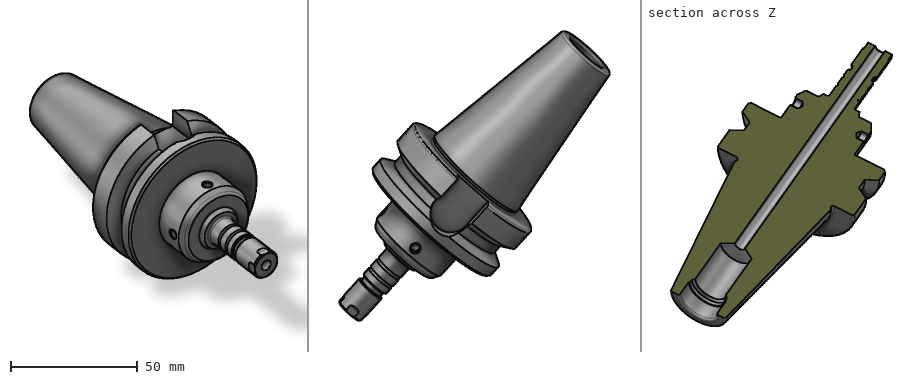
import cadquery as cq
import math

TOTAL_LENGTH = 140.4
GAUGE_X = 65.4
FLANGE_START = 67.4
FLANGE_END = 92.4
NOSE_CHAMFER_START = 105.2
NOSE_ROUND_START = 107.3
NOSE_END = 108.5
COLLAR_END = 110.6
NECK_START = 125.7
NECK_END = 127.6

TAPER_RATIO = 7 / 24
GAUGE_RADIUS = 22.2
SMALL_END_RADIUS = GAUGE_RADIUS - GAUGE_X * TAPER_RATIO / 2
SMALL_END_ROUND = 1.0
UNDERCUT_RADIUS = 21.6
UNDERCUT_FILLET = 0.8

FLANGE_RADIUS = 63.0 / 2
FLANGE_EDGE = 0.8
GROOVE_CENTRE = 82.0
GROOVE_BOTTOM_RADIUS = 26.5
GROOVE_BOTTOM_WIDTH = 4.2
GROOVE_HALF_ANGLE = 30

SLOT_WIDTH = 16.1
SLOT_FLOOR_HEIGHT = 22.6
SLOT_END = 88.5

NOSE_RADIUS = 17.0
NOSE_CONE_END_RADIUS = 15.7
NOSE_FACE_RADIUS = 14.6
NOSE_ROUND_BULGE = 0.1
COLLAR_RADIUS = 9.3
COLLAR_END_RADIUS = 8.3

SPINDLE_RADIUS = 12.0 / 2
SPINDLE_ROOT_FILLET = 0.7
SPINDLE_END_CHAMFER = 0.5
NECK_RADIUS = 10.0 / 2
NECK_EDGE_CHAMFER = 0.4
RING_GROOVE_CENTRES = (117.1, 121.7)
RING_GROOVE_WIDTH = 1.3
RING_GROOVE_DEPTH = 0.35

FLAT_START = 137.6
FLAT_DISTANCE = 11.1 / 2
FLAT_CUTTER_RADIUS = 1.0

SCREW_X = 101.4
SCREW_MOUTH_RADIUS = 2.2
SCREW_RADIUS = 3.5 / 2
SCREW_CHAMFER = SCREW_MOUTH_RADIUS - SCREW_RADIUS
SCREW_DEPTH = 3.5

BORE_MOUTH_RADIUS = 9.5
BORE_RADIUS = 17.0 / 2
BORE_DEPTH = 7.3
THREAD_RELIEF_RADIUS = 8.0
THREAD_RELIEF_LENGTH = 1.5
THREAD_RADIUS = 7.0
THREAD_END = 29.5
THROUGH_RADIUS = 2.2
DRILL_HALF_ANGLE = 59

QUARTER_TURNS = (0, 90, 180, 270)


def cone_length(radius_change, half_angle):
    """Axial length of a cone whose radius changes by the given amount."""
    return radius_change / math.tan(math.radians(half_angle))


def revolve_about_x(profile):
    """Turn a closed profile (X along the axis, Y as radius) into a solid."""
    return profile.close().revolve(360, (0, 0, 0), (1, 0, 0))


def make_body():
    """Turned outer shape of the whole holder, solid inside."""
    groove_half_bottom = GROOVE_BOTTOM_WIDTH / 2
    groove_side = (FLANGE_RADIUS - GROOVE_BOTTOM_RADIUS) * math.tan(math.radians(GROOVE_HALF_ANGLE))
    groove_half_top = groove_half_bottom + groove_side
    rounded_taper_radius = SMALL_END_RADIUS + SMALL_END_ROUND * TAPER_RATIO / 2
    round_mid_x = (NOSE_ROUND_START + NOSE_END) / 2 + NOSE_ROUND_BULGE
    round_mid_radius = (NOSE_CONE_END_RADIUS + NOSE_FACE_RADIUS) / 2 + NOSE_ROUND_BULGE

    profile = (
        cq.Workplane("XY")
        .moveTo(0, 0)
        .lineTo(0, rounded_taper_radius - SMALL_END_ROUND)
        .radiusArc((SMALL_END_ROUND, rounded_taper_radius), SMALL_END_ROUND)
        .lineTo(GAUGE_X, GAUGE_RADIUS)
        .lineTo(FLANGE_START - UNDERCUT_FILLET, UNDERCUT_RADIUS)
        .radiusArc((FLANGE_START, UNDERCUT_RADIUS + UNDERCUT_FILLET), -UNDERCUT_FILLET)
        .lineTo(FLANGE_START, FLANGE_RADIUS - FLANGE_EDGE)
        .radiusArc((FLANGE_START + FLANGE_EDGE, FLANGE_RADIUS), FLANGE_EDGE)
        .lineTo(GROOVE_CENTRE - groove_half_top, FLANGE_RADIUS)
        .lineTo(GROOVE_CENTRE - groove_half_bottom, GROOVE_BOTTOM_RADIUS)
        .lineTo(GROOVE_CENTRE + groove_half_bottom, GROOVE_BOTTOM_RADIUS)
        .lineTo(GROOVE_CENTRE + groove_half_top, FLANGE_RADIUS)
        .lineTo(FLANGE_END - FLANGE_EDGE, FLANGE_RADIUS)
        .lineTo(FLANGE_END, FLANGE_RADIUS - FLANGE_EDGE)
        .lineTo(FLANGE_END, NOSE_RADIUS)
        .lineTo(NOSE_CHAMFER_START, NOSE_RADIUS)
        .lineTo(NOSE_ROUND_START, NOSE_CONE_END_RADIUS)
        .threePointArc((round_mid_x, round_mid_radius), (NOSE_END, NOSE_FACE_RADIUS))
        .lineTo(NOSE_END, COLLAR_RADIUS)
        .lineTo(COLLAR_END, COLLAR_END_RADIUS)
        .lineTo(COLLAR_END, SPINDLE_RADIUS + SPINDLE_ROOT_FILLET)
        .radiusArc((COLLAR_END + SPINDLE_ROOT_FILLET, SPINDLE_RADIUS), -SPINDLE_ROOT_FILLET)
    )
    for centre in RING_GROOVE_CENTRES:
        profile = profile.lineTo(centre - RING_GROOVE_WIDTH / 2, SPINDLE_RADIUS).threePointArc(
            (centre, SPINDLE_RADIUS - RING_GROOVE_DEPTH),
            (centre + RING_GROOVE_WIDTH / 2, SPINDLE_RADIUS),
        )
    profile = (
        profile.lineTo(NECK_START - NECK_EDGE_CHAMFER, SPINDLE_RADIUS)
        .lineTo(NECK_START, SPINDLE_RADIUS - NECK_EDGE_CHAMFER)
        .lineTo(NECK_START, NECK_RADIUS)
        .lineTo(NECK_END, NECK_RADIUS)
        .lineTo(NECK_END, SPINDLE_RADIUS - NECK_EDGE_CHAMFER)
        .lineTo(NECK_END + NECK_EDGE_CHAMFER, SPINDLE_RADIUS)
        .lineTo(TOTAL_LENGTH - SPINDLE_END_CHAMFER, SPINDLE_RADIUS)
        .lineTo(TOTAL_LENGTH, SPINDLE_RADIUS - SPINDLE_END_CHAMFER)
        .lineTo(TOTAL_LENGTH, 0)
    )
    return revolve_about_x(profile)


def make_bore():
    """Stepped bore from the small end, running on as the through hole."""
    mouth_round = BORE_MOUTH_RADIUS - BORE_RADIUS
    relief_end = BORE_DEPTH + THREAD_RELIEF_LENGTH
    thread_start = relief_end + THREAD_RELIEF_RADIUS - THREAD_RADIUS
    drill_end = THREAD_END + cone_length(THREAD_RADIUS - THROUGH_RADIUS, DRILL_HALF_ANGLE)
    profile = (
        cq.Workplane("XY")
        .moveTo(0, 0)
        .lineTo(0, BORE_MOUTH_RADIUS)
        .radiusArc((mouth_round, BORE_RADIUS), -mouth_round)
        .lineTo(BORE_DEPTH, BORE_RADIUS)
        .lineTo(BORE_DEPTH, THREAD_RELIEF_RADIUS)
        .lineTo(relief_end, THREAD_RELIEF_RADIUS)
        .lineTo(thread_start, THREAD_RADIUS)
        .lineTo(THREAD_END, THREAD_RADIUS)
        .lineTo(drill_end, THROUGH_RADIUS)
        .lineTo(TOTAL_LENGTH, THROUGH_RADIUS)
        .lineTo(TOTAL_LENGTH, 0)
    )
    return revolve_about_x(profile)


def make_drive_slot():
    """Round-ended slot above the axis, open towards the taper."""
    half_width = SLOT_WIDTH / 2
    arc_start = SLOT_END - half_width
    return (
        cq.Workplane("XY", origin=(0, 0, SLOT_FLOOR_HEIGHT))
        .moveTo(GAUGE_X, -half_width)
        .lineTo(arc_start, -half_width)
        .threePointArc((SLOT_END, 0), (arc_start, half_width))
        .lineTo(GAUGE_X, half_width)
        .close()
        .extrude(FLANGE_RADIUS - SLOT_FLOOR_HEIGHT)
    )


def make_wrench_flat():
    """Cutter for the upper flat, with a rounded run-out at its inner end."""
    cutter_top = FLAT_DISTANCE + FLAT_CUTTER_RADIUS
    return (
        cq.Workplane("XZ")
        .moveTo(FLAT_START - FLAT_CUTTER_RADIUS, cutter_top)
        .radiusArc((FLAT_START, FLAT_DISTANCE), -FLAT_CUTTER_RADIUS)
        .lineTo(TOTAL_LENGTH, FLAT_DISTANCE)
        .lineTo(TOTAL_LENGTH, cutter_top)
        .close()
        .extrude(SPINDLE_RADIUS, both=True)
    )


def make_screw_hole():
    """Countersunk radial hole in the top of the nose, with a drill point."""
    floor = NOSE_RADIUS - SCREW_DEPTH
    tip = floor - cone_length(SCREW_RADIUS, DRILL_HALF_ANGLE)
    return (
        cq.Workplane("XZ", origin=(SCREW_X, 0, 0))
        .moveTo(0, tip)
        .lineTo(SCREW_RADIUS, floor)
        .lineTo(SCREW_RADIUS, NOSE_RADIUS - SCREW_CHAMFER)
        .lineTo(SCREW_MOUTH_RADIUS, NOSE_RADIUS)
        .lineTo(0, NOSE_RADIUS)
        .close()
        .revolve(360, (0, 0, 0), (0, 1, 0))
    )


def cut_around_axis(body, cutter, angles):
    """Cut copies of a cutter turned about the X axis by each angle."""
    for angle in angles:
        body = body.cut(cutter.rotate((0, 0, 0), (1, 0, 0), angle))
    return body


result = make_body().cut(make_bore())
result = cut_around_axis(result, make_drive_slot(), (0, 180))
result = cut_around_axis(result, make_screw_hole(), QUARTER_TURNS)
result = cut_around_axis(result, make_wrench_flat(), QUARTER_TURNS)